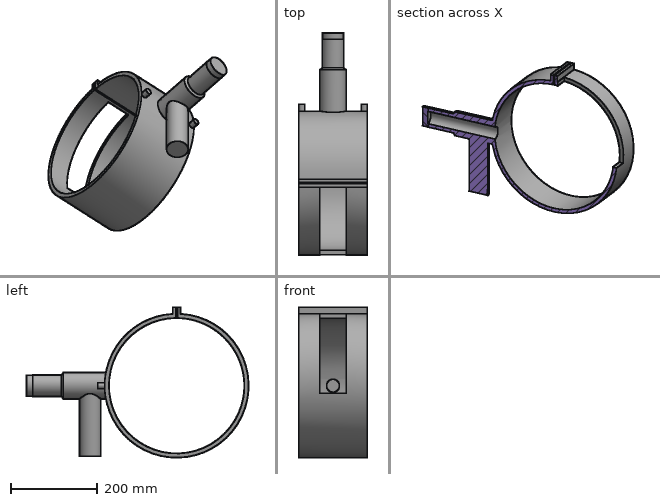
import cadquery as cq

ring_width = 160.0
ring_outer_radius = 167.5
ring_wall = 10.5
ring_inner_radius = ring_outer_radius - ring_wall

split_gap = 3.0
lug_thickness = 8.0
lug_top = 182.5
lug_pair_width = split_gap + 2 * lug_thickness

window_width = 61.5
window_bottom = -17.5
window_edge_offset = 10.0

sleeve_radius = 31.0
spigot_diameter = 50.0
spigot_radius = spigot_diameter / 2
shoulder_end = 267.5
shoulder_length = 4.5
pipe_end = 349.0
bore_radius = 15.0

cap_radius = 25.0
cap_length = 14.5
cap_start = pipe_end - cap_length

branch_radius = spigot_radius
branch_y = 201.0
branch_bottom = -164.0

stud_diameter = 15.0
stud_radius = stud_diameter / 2
stud_end = 183.5
stud_x = ring_width / 2 - stud_radius


def rod_along_y(radius, y_start, y_end, x=0):
    """Solid cylinder parallel to Y between two Y positions, at height zero."""
    return cq.Workplane(cq.Solid.makeCylinder(
        radius, y_end - y_start, cq.Vector(x, y_start, 0), cq.Vector(0, 1, 0)))


def cylinder_along_x(radius):
    """Solid cylinder on the ring axis, as long as the ring is wide."""
    return cq.Workplane("YZ", origin=(-ring_width / 2, 0, 0)).circle(radius).extrude(ring_width)


def block_above_axis(y_size, top):
    """Block across the full ring width, rising from the ring axis to the given height."""
    return cq.Workplane("XY").rect(ring_width, y_size).extrude(top)


def make_pipe():
    """Sleeve, conical shoulder and spigot, revolved about the Y axis."""
    return (
        cq.Workplane("XY")
        .lineTo(sleeve_radius, 0)
        .lineTo(sleeve_radius, shoulder_end - shoulder_length)
        .lineTo(spigot_radius, shoulder_end)
        .lineTo(spigot_radius, cap_start)
        .lineTo(0, cap_start)
        .close()
        .revolve(360, (0, 0, 0), (0, 1, 0))
    )


def make_branch():
    """Vertical pipe from the sleeve axis down to its plain lower end."""
    return (
        cq.Workplane("XY")
        .center(0, branch_y)
        .circle(branch_radius)
        .extrude(branch_bottom)
    )


def make_window():
    """Cutter for the window, from just in front of the lugs to the front of the ring."""
    return cq.Workplane("XY").box(
        window_width,
        ring_outer_radius - window_edge_offset,
        ring_outer_radius - window_bottom,
        centered=(True, False, False),
    ).translate((0, -ring_outer_radius, window_bottom))


def make_clamp():
    """Split ring with its lugs, studs, pipe and branch, as one welded body."""
    clamp = cylinder_along_x(ring_outer_radius)
    clamp = clamp.union(block_above_axis(lug_pair_width, lug_top))
    clamp = clamp.union(make_pipe())
    clamp = clamp.union(make_branch())
    for x in (-stud_x, stud_x):
        clamp = clamp.union(rod_along_y(stud_radius, 0, stud_end, x))
    clamp = clamp.cut(cylinder_along_x(ring_inner_radius))
    clamp = clamp.cut(block_above_axis(split_gap, lug_top))
    clamp = clamp.cut(make_window())
    return clamp.cut(rod_along_y(bore_radius, 0, cap_start)).clean()


def make_end_cap():
    """Plain disc that closes the bore at the end of the spigot."""
    return rod_along_y(cap_radius, cap_start, pipe_end)


clamp = make_clamp()
end_cap = make_end_cap()

result = cq.Compound.makeCompound([clamp.val(), end_cap.val()])